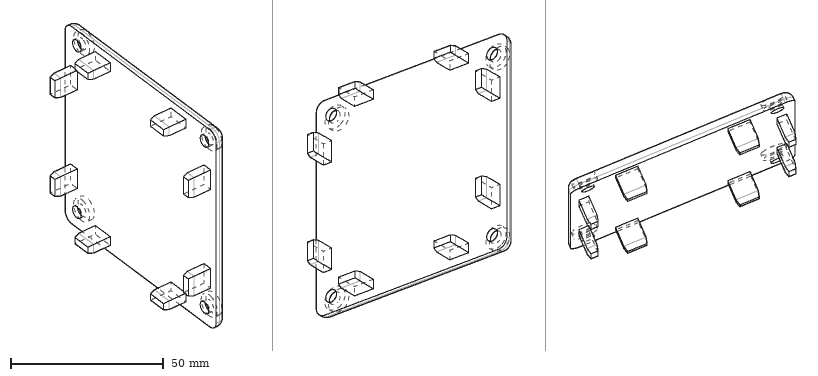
import cadquery as cq

PLATE_SIDE = 80.0
PLATE_THICKNESS = 4.0
CORNER_RADIUS = 3.5
RIM_FILLET = 2.7

HOLE_DIAMETER = 4.5
COUNTERBORE_DIAMETER = 8.5
COUNTERBORE_DEPTH = PLATE_THICKNESS / 2
HOLE_EDGE_DISTANCE = 6.2
HOLE_PITCH = PLATE_SIDE - 2 * HOLE_EDGE_DISTANCE

TOTAL_DEPTH = 13.0
PEG_LENGTH = TOTAL_DEPTH - PLATE_THICKNESS
PEG_WIDTH = 7.9
PEG_THICKNESS = 3.5
PEG_TIP_LENGTH = 2.0
PEG_TIP_INSET = 0.5
PEG_SHANK_LENGTH = PEG_LENGTH - PEG_TIP_LENGTH
PEG_EDGE_DISTANCE = 4.7
PEG_SPACING = PLATE_SIDE / 2


def make_plate():
    """Rounded square with its front face on Y = 0 and a filleted rear rim."""
    plate = cq.Workplane("XZ").rect(PLATE_SIDE, PLATE_SIDE).extrude(-PLATE_THICKNESS)
    plate = plate.edges("|Y").fillet(CORNER_RADIUS)
    return plate.faces(">Y").edges().fillet(RIM_FILLET)


def cut_screw_holes(plate):
    """Four through holes with counterbores sunk into the rear face."""
    rear = plate.faces(">Y").workplane(origin=(0, PLATE_THICKNESS, 0))
    corners = rear.rect(HOLE_PITCH, HOLE_PITCH, forConstruction=True).vertices()
    return corners.cboreHole(HOLE_DIAMETER, COUNTERBORE_DIAMETER, COUNTERBORE_DEPTH)


def make_peg(x, z, size_x, size_z):
    """Peg on the front face: a straight shank, then a tip tapering on all four sides."""
    shank = cq.Workplane("XZ").center(x, z).rect(size_x, size_z).extrude(PEG_SHANK_LENGTH)
    tip = (
        cq.Workplane("XZ", origin=(x, -PEG_SHANK_LENGTH, z))
        .rect(size_x, size_z)
        .workplane(offset=PEG_TIP_LENGTH)
        .rect(size_x - 2 * PEG_TIP_INSET, size_z - 2 * PEG_TIP_INSET)
        .loft(ruled=True)
    )
    return shank.union(tip)


result = cut_screw_holes(make_plate())

peg_row = PLATE_SIDE / 2 - PEG_EDGE_DISTANCE
for across in (-peg_row, peg_row):
    for along in (-PEG_SPACING / 2, PEG_SPACING / 2):
        result = result.union(make_peg(along, across, PEG_WIDTH, PEG_THICKNESS))
        result = result.union(make_peg(across, along, PEG_THICKNESS, PEG_WIDTH))